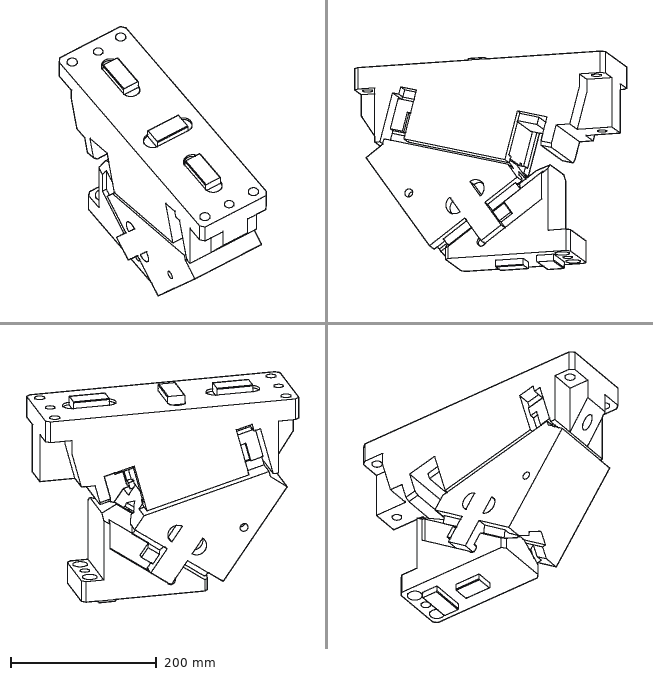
import cadquery as cq
import math


LENGTH = 360.0
WIDTH = 110.0
HALF_WIDTH = WIDTH / 2
DOWEL = 13.0
REACH = 216.0

SEAT_ANGLE = math.radians(35)
SEAT_X = 125.3
SEAT_Z = 104.8

CAM_ANGLE = math.radians(15)
SLIDE_END_HEIGHT = 23.5


def seat(u, v):
    """XZ point from seat coordinates."""
    return (
        SEAT_X + u * math.cos(SEAT_ANGLE) + v * math.sin(SEAT_ANGLE),
        SEAT_Z - u * math.sin(SEAT_ANGLE) + v * math.cos(SEAT_ANGLE),
    )


CAM_X, CAM_Z = seat(0, SLIDE_END_HEIGHT)


def cam(p, q):
    """XZ point from cam coordinates."""
    return (
        CAM_X + p * math.cos(CAM_ANGLE) - q * math.sin(CAM_ANGLE),
        CAM_Z + p * math.sin(CAM_ANGLE) + q * math.cos(CAM_ANGLE),
    )


def prism(points, half_width):
    """XZ outline extruded to both sides of the symmetry plane."""
    return cq.Workplane("XZ").polyline(points).close().extrude(half_width, both=True)


def side_pair(points, inner, outer):
    """The same XZ outline on both sides, between two distances from the symmetry plane."""
    return prism(points, outer).cut(prism(points, inner))


def rect(frame, a0, a1, b0, b1):
    """Corners of a rectangle in the seat or cam frame."""
    return [frame(a0, b0), frame(a1, b0), frame(a1, b1), frame(a0, b1)]


def frame_extrusion(frame, points, start, end):
    """Cross-section of (y, height) points extruded along the first axis of a frame."""
    x0, z0 = frame(start, 0)
    x1, z1 = frame(end, 0)
    plane = cq.Plane(origin=(x0, 0, z0), xDir=(0, 1, 0), normal=(x1 - x0, 0, z1 - z0))
    return cq.Workplane(plane).polyline(points).close().extrude(end - start)


def side_discs(frame, a, b, radius, inner, outer):
    """Round cutters on both sides, between two distances from the symmetry plane."""
    x, z = frame(a, b)
    center = cq.Workplane("XZ").center(x, z)
    full = center.circle(radius).extrude(outer, both=True)
    core = center.circle(radius).extrude(inner, both=True)
    return full.cut(core)


def bevelled_plate(x0, x1, half_width, bevel_x, bevel_y, z0, z1):
    """Plate with its four vertical corners cut off."""
    center_x = (x0 + x1) / 2
    half_length = (x1 - x0) / 2
    points = []
    for sx, sy in ((1, 1), (-1, 1), (-1, -1), (1, -1)):
        pair = [
            (sx * half_length, sy * (half_width - bevel_y)),
            (sx * (half_length - bevel_x), sy * half_width),
        ]
        points += pair if sx * sy > 0 else pair[::-1]
    plate = cq.Workplane("XY", origin=(center_x, 0, z0)).polyline(points).close()
    return plate.extrude(z1 - z0)


RIDGE_V = 9.5
RIDGE_HALF = 3.5
ROOF_SLOPE = math.tan(math.radians(30))
ROOF_FOOT_V = -43.2
SEAT_START = -108.0


def roof_half(v):
    """Half width of the roof at height v."""
    return RIDGE_HALF + (RIDGE_V - v) / ROOF_SLOPE


def roof(rise=0.0):
    """(y, v) cross-section of the roof, raised by a clearance."""
    foot = roof_half(ROOF_FOOT_V)
    outline = [(-foot, ROOF_FOOT_V), (foot, ROOF_FOOT_V), (RIDGE_HALF, RIDGE_V), (-RIDGE_HALF, RIDGE_V)]
    return [(y, v + rise) for y, v in outline]


STRAP_U0 = 56.5
STRAP_U1 = 91.8
STRAP_INNER = 35.5
STRAP_V = -40.5
POCKET_X = 94.0
POCKET_V = -42.5
CORNER_U = 93.5
CORNER_V = -37.5
CORNER_RADIUS = 6.0

KEY_WIDTH = 25.0
KEY_HEIGHT = 9.5
KEY_BEVEL = 1.0
CROSS_KEY_LENGTH = 50.0


def key(x, length_x, length_y, outer_face):
    """Rectangular key standing on Z = 0, with its long outer edges bevelled."""
    block = cq.Workplane("XY").box(length_x, length_y, KEY_HEIGHT, centered=(True, True, False))
    long_axis = "|X" if length_x > length_y else "|Y"
    block = block.faces(outer_face).edges(long_axis).chamfer(KEY_BEVEL)
    return block.translate((x, 0, 0))


BASE_X0 = 54.5
BASE_X1 = 233.5
BASE_HALF = 42.0
BASE_BEVEL = 5.0
FOOT_TOP = 30.2
WALL_X = 85.0
BASE_TOP = 124.5
BASE_SCREW = 20.0
BASE_HOLE_X = 69.5
BASE_HOLE_Y = 25.5
LUG_U = 36.7
LUG_V = -30.2
LUG_OUTER = 44.0
BASE_CROSS_KEY_X = 94.5
BASE_LONG_KEY_X = 149.5
BASE_LONG_KEY = 39.5


def seat_x(z, v):
    """X where the line at height v above the seat passes height z."""
    u = (SEAT_Z + v * math.cos(SEAT_ANGLE) - z) / math.sin(SEAT_ANGLE)
    return seat(u, v)[0]


def seat_z(x, v):
    """Z where the line at height v above the seat passes x."""
    u = (x - SEAT_X - v * math.sin(SEAT_ANGLE)) / math.cos(SEAT_ANGLE)
    return seat(u, v)[1]


def make_base():
    outline = [
        (BASE_X0, 0),
        (BASE_X1, 0),
        (BASE_X1, seat_z(BASE_X1, RIDGE_V)),
        (seat_x(BASE_TOP, RIDGE_V), BASE_TOP),
        (WALL_X, BASE_TOP),
        (WALL_X, FOOT_TOP),
        (BASE_X0, FOOT_TOP),
    ]
    body = prism(outline, BASE_HALF)
    body = body.intersect(bevelled_plate(BASE_X0, BASE_X1, BASE_HALF, BASE_BEVEL, BASE_BEVEL, 0, BASE_TOP))

    pocket = [
        (POCKET_X, seat_z(POCKET_X, POCKET_V)),
        seat(STRAP_U1, POCKET_V),
        seat(STRAP_U1, RIDGE_V),
        (POCKET_X, seat_z(POCKET_X, RIDGE_V)),
    ]
    body = body.cut(side_pair(pocket, STRAP_INNER, BASE_HALF))
    body = body.cut(side_discs(seat, CORNER_U, CORNER_V, CORNER_RADIUS, STRAP_INNER, BASE_HALF))

    body = body.union(side_pair(rect(seat, LUG_U, STRAP_U0, LUG_V, RIDGE_V), STRAP_INNER, LUG_OUTER))

    for side in (-1, 1):
        flank = [
            (side * RIDGE_HALF, RIDGE_V),
            (side * roof_half(ROOF_FOOT_V), ROOF_FOOT_V),
            (side * roof_half(ROOF_FOOT_V), REACH),
            (side * RIDGE_HALF, REACH),
        ]
        body = body.cut(frame_extrusion(seat, flank, SEAT_START, REACH))

    for y, diameter in ((-BASE_HOLE_Y, BASE_SCREW), (0, DOWEL), (BASE_HOLE_Y, BASE_SCREW)):
        hole = cq.Workplane("XY").center(BASE_HOLE_X, y).circle(diameter / 2).extrude(FOOT_TOP)
        body = body.cut(hole)

    cross_key = key(BASE_CROSS_KEY_X, KEY_WIDTH, CROSS_KEY_LENGTH, "<Z").translate((0, 0, -KEY_HEIGHT))
    long_key = key(BASE_LONG_KEY_X, BASE_LONG_KEY, KEY_WIDTH, "<Z").translate((0, 0, -KEY_HEIGHT))
    return body.union(cross_key).union(long_key)


SLIDE_LENGTH = 153.7
SLIDE_HEIGHT = 158.8
CAM_LENGTH = 184.0
SHOULDER_DROP = 8.0
TONGUE_HALF = 28.0
TONGUE_HEIGHT = 13.5
LIP_HALF = 42.0
LIP_U0 = 8.0
LIP_U1 = 134.3
LIP_V = -9.7
ROOF_CLEARANCE = 7.2
CREST_HALF = 16.0
CREST_STEP = 5.8
STRAP_RELIEF = 13.0
STRAP_TOP = 24.5
TAP_HOLE = 11.0
TAP_DEPTH = 18.0
DRILL_TIP = math.radians(30)
SIDE_HOLE_X = 280.8
SIDE_HOLE_Z = 93.0


def drill(start, direction):
    """Blind hole with a conical bottom."""
    radius = TAP_HOLE / 2
    half_section = [(0, 0), (radius, 0), (radius, TAP_DEPTH), (0, TAP_DEPTH + radius * math.tan(DRILL_TIP))]
    across = cq.Vector(0, 0, 1).cross(cq.Vector(*direction))
    plane = cq.Plane(origin=start, xDir=across, normal=across.cross(cq.Vector(*direction)))
    return cq.Workplane(plane).polyline(half_section).close().revolve(360, (0, 0), (0, 1))


def make_slide():
    outline = [
        seat(0, 0),
        seat(SLIDE_LENGTH, 0),
        seat(SLIDE_LENGTH, SLIDE_HEIGHT),
        cam(CAM_LENGTH, -SHOULDER_DROP),
        cam(CAM_LENGTH, 0),
        cam(0, 0),
    ]
    body = prism(outline, HALF_WIDTH)

    end_run = TONGUE_HEIGHT / math.tan(math.pi / 2 - SEAT_ANGLE - CAM_ANGLE)
    tongue = [
        cam(0, 0),
        cam(CAM_LENGTH, -SHOULDER_DROP),
        cam(CAM_LENGTH, TONGUE_HEIGHT),
        cam(end_run, TONGUE_HEIGHT),
    ]
    body = body.union(prism(tongue, TONGUE_HALF))

    edge = roof_half(LIP_V)
    lip = [(-LIP_HALF, 0), (-edge, LIP_V), (edge, LIP_V), (LIP_HALF, 0)]
    body = body.union(frame_extrusion(seat, lip, LIP_U0, LIP_U1))
    body = body.cut(frame_extrusion(seat, roof(), SEAT_START, REACH))

    body = body.cut(frame_extrusion(seat, roof(ROOF_CLEARANCE), SEAT_START, LIP_U0))
    body = body.cut(frame_extrusion(seat, roof(ROOF_CLEARANCE), LIP_U1, REACH))

    tilt = math.atan(ROOF_SLOPE)
    crest_v = RIDGE_V - (CREST_HALF - RIDGE_HALF) * ROOF_SLOPE
    step_v = crest_v + ROOF_CLEARANCE
    shoulder_y = CREST_HALF + CREST_STEP * math.sin(tilt)
    shoulder_v = step_v + CREST_STEP * math.cos(tilt)
    right_half = [(CREST_HALF, crest_v), (CREST_HALF, step_v), (shoulder_y, shoulder_v)]
    left_half = [(-y, v) for y, v in reversed(right_half)]
    apex = (0, shoulder_v + shoulder_y * ROOF_SLOPE)
    body = body.cut(frame_extrusion(seat, right_half + [apex] + left_half, SEAT_START, REACH))

    body = body.union(side_pair(rect(seat, STRAP_U0, STRAP_U1, STRAP_V, STRAP_TOP), STRAP_INNER, HALF_WIDTH))

    strap_zone = prism(rect(seat, STRAP_U0, STRAP_U1, -REACH, REACH), HALF_WIDTH)
    for u in (STRAP_U0, STRAP_U1):
        discs = side_discs(seat, u, STRAP_TOP, STRAP_RELIEF, STRAP_INNER, HALF_WIDTH)
        body = body.cut(discs.cut(strap_zone))

    for side in (-1, 1):
        body = body.cut(drill((SIDE_HOLE_X, side * HALF_WIDTH, SIDE_HOLE_Z), (0, -side, 0)))
    return body


DRIVER_TOP = 274.5
PLATE_BOTTOM = 244.0
PLATE_BEVEL_X = 6.0
PLATE_BEVEL_Y = 5.0
WEB_HALF = 20.0
BODY_X0 = 36.0
BODY_X1 = 329.8
BODY_BEND_Z = 225.7
BODY_BOTTOM = 174.5
HEEL_BOTTOM = 167.8
WEB_END_Z = 214.2

LEG_P0 = -54.0
LEG_P1 = -38.0
LEG_Q = 35.5
LEG_BEVEL = 5.0
SLOT_Q = 75.2
DRIVE_P = 5.8
FLANK_Q = 5.5
GROOVE_HALF = 34.0
GROOVE_Q = 17.5
REAR_SLOT_P0 = 156.0
REAR_SLOT_P1 = 188.5
REAR_SLOT_Q = 64.8
BLOCK_Q = 61.0
STOP_HALF = 36.5
FRONT_STOP_P = -20.0
REAR_STOP_P = 179.3
BLOCK_HALF = 40.5
RECESS_HALF = 43.5
RECESS_Q = 14.8
RECESS_DEPTH = 6.5
NOTCH_P = 166.0
NOTCH_Q = 45.0

SCREW = 14.0
SCREW_Y = 40.0
LEFT_SCREW_X = 16.0
LEFT_DOWEL_X = 20.0
RIGHT_HOLE_X = 344.5
TOP_KEYS_X = (75.5, 279.5)
TOP_LONG_KEY = 50.8
TOP_CROSS_KEY_X = 192.5
KEYWAY_LENGTH = 75.2
KEYWAY_DEPTH = 3.5


def wall_x(p, z):
    """X at height z of a wall that stands square to the cam face at p."""
    q = (z - CAM_Z - p * math.sin(CAM_ANGLE)) / math.cos(CAM_ANGLE)
    return cam(p, q)[0]


def make_driver():
    body = bevelled_plate(0, LENGTH, HALF_WIDTH, PLATE_BEVEL_X, PLATE_BEVEL_Y, PLATE_BOTTOM, DRIVER_TOP)

    body_bottom_x = BODY_X0 + (BODY_BEND_Z - BODY_BOTTOM) * math.tan(CAM_ANGLE)
    outline = [
        (BODY_X0, DRIVER_TOP),
        (BODY_X0, BODY_BEND_Z),
        (body_bottom_x, BODY_BOTTOM),
        (wall_x(LEG_P0, BODY_BOTTOM), BODY_BOTTOM),
        cam(LEG_P0, LEG_Q),
        cam(LEG_P1, LEG_Q),
        cam(LEG_P1, SLOT_Q),
        cam(DRIVE_P, SLOT_Q),
        cam(DRIVE_P, FLANK_Q),
        cam(CAM_LENGTH, FLANK_Q),
        cam(CAM_LENGTH, BLOCK_Q),
        cam(REAR_STOP_P, BLOCK_Q),
        cam(REAR_STOP_P, REAR_SLOT_Q),
        cam(REAR_SLOT_P1, REAR_SLOT_Q),
        (wall_x(REAR_SLOT_P1, HEEL_BOTTOM), HEEL_BOTTOM),
        (BODY_X1, HEEL_BOTTOM),
        (BODY_X1, DRIVER_TOP),
    ]
    body = body.union(prism(outline, HALF_WIDTH))

    left_web = [(0, DRIVER_TOP), (0, BODY_BOTTOM), (body_bottom_x, BODY_BOTTOM), (body_bottom_x, DRIVER_TOP)]
    right_web = [
        (BODY_X1, DRIVER_TOP),
        (BODY_X1, HEEL_BOTTOM),
        (LENGTH, WEB_END_Z),
        (LENGTH, DRIVER_TOP),
    ]
    body = body.union(prism(left_web, WEB_HALF)).union(prism(right_web, WEB_HALF))

    body = cut_leg_bevels(body)

    groove = rect(cam, 0, CAM_LENGTH, 0, TONGUE_HEIGHT)
    body = body.cut(prism(groove, GROOVE_HALF))
    channel = rect(cam, 0, CAM_LENGTH, 0, GROOVE_Q)
    body = body.cut(side_pair(channel, TONGUE_HALF, GROOVE_HALF))

    body = body.cut(side_pair(rect(cam, REAR_SLOT_P0, CAM_LENGTH, 0, GROOVE_Q), GROOVE_HALF, HALF_WIDTH))
    body = body.cut(side_pair(rect(cam, REAR_SLOT_P0, CAM_LENGTH, GROOVE_Q, BLOCK_Q), BLOCK_HALF, HALF_WIDTH))
    for side in (-1, 1):
        corner = [
            (side * HALF_WIDTH, BLOCK_Q),
            (side * BLOCK_HALF, BLOCK_Q),
            (side * STOP_HALF, REAR_SLOT_Q),
            (side * STOP_HALF, SLOT_Q),
            (side * HALF_WIDTH, SLOT_Q),
        ]
        body = body.cut(frame_extrusion(cam, corner, REAR_SLOT_P0, REAR_STOP_P))

    body = body.cut(side_pair(rect(cam, REAR_SLOT_P0, NOTCH_P, GROOVE_Q, NOTCH_Q), GROOVE_HALF, BLOCK_HALF))
    recess_p = DRIVE_P + RECESS_DEPTH
    body = body.cut(prism(rect(cam, DRIVE_P, recess_p, RECESS_Q, SLOT_Q), RECESS_HALF))
    body = body.cut(prism(rect(cam, DRIVE_P, recess_p, 0, SLOT_Q), GROOVE_HALF))
    body = body.union(prism(rect(cam, FRONT_STOP_P, recess_p, REAR_SLOT_Q, SLOT_Q), STOP_HALF))

    body = body.cut(plate_holes())
    return add_top_keys(body)


def cut_leg_bevels(body):
    for side in (-1, 1):
        corner = [
            (side * HALF_WIDTH, LEG_Q),
            (side * (HALF_WIDTH - LEG_BEVEL), LEG_Q),
            (side * HALF_WIDTH, LEG_Q + LEG_BEVEL),
        ]
        body = body.cut(frame_extrusion(cam, corner, LEG_P0, LEG_P1))
    return body


def plate_holes():
    screws = [(x, y) for x in (LEFT_SCREW_X, RIGHT_HOLE_X) for y in (-SCREW_Y, SCREW_Y)]
    dowels = [(LEFT_DOWEL_X, 0), (RIGHT_HOLE_X, 0)]
    tools = cq.Workplane("XY").pushPoints(screws).circle(SCREW / 2).extrude(DRIVER_TOP)
    return tools.union(cq.Workplane("XY").pushPoints(dowels).circle(DOWEL / 2).extrude(DRIVER_TOP))


def add_top_keys(body):
    for x in TOP_KEYS_X + (TOP_CROSS_KEY_X,):
        crosswise = x == TOP_CROSS_KEY_X
        floor = cq.Workplane("XY", origin=(x, 0, DRIVER_TOP - KEYWAY_DEPTH))
        keyway = floor.slot2D(KEYWAY_LENGTH, KEY_WIDTH, 90 if crosswise else 0).extrude(KEYWAY_DEPTH)
        length_x = KEY_WIDTH if crosswise else TOP_LONG_KEY
        length_y = CROSS_KEY_LENGTH if crosswise else KEY_WIDTH
        stem = floor.rect(length_x, length_y).extrude(KEYWAY_DEPTH)
        top = key(x, length_x, length_y, ">Z").translate((0, 0, DRIVER_TOP))
        body = body.cut(keyway).union(stem).union(top)
    return body


base = make_base()
slide = make_slide()
driver = make_driver()
result = cq.Compound.makeCompound([base.solids().val(), slide.solids().val(), driver.solids().val()])